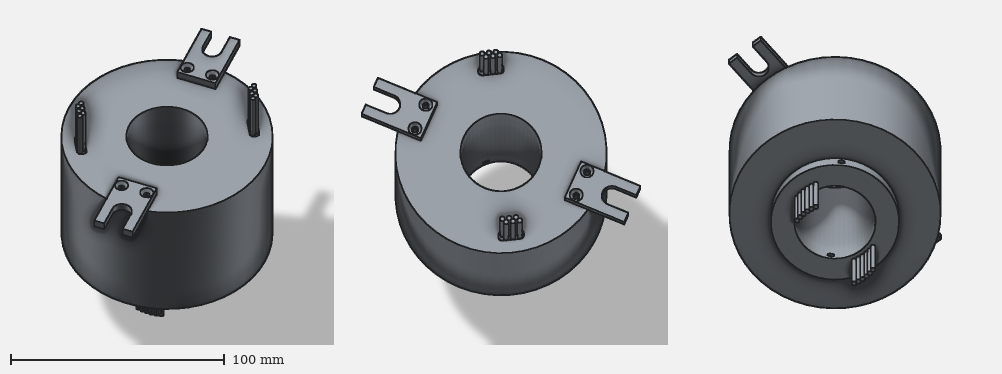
import cadquery as cq
import math

housing_diameter = 99.0
housing_height = 65.5
bore_radius = 19.0

neck_radius = 27.1
neck_height = 1.6
flange_radius = 30.0
flange_height = 7.1
set_screw_hole_diameter = 3.1
set_screw_angles = (45, 135, 225, 315)

tab_tip_y = 67.0
tab_inner_y = 36.7
tab_width = 19.3
tab_thickness = 4.0
fork_slot_width = 9.4
fork_slot_end_y = 51.9
screw_spacing = 12.7
screw_y = 41.1
screw_hole_diameter = 3.0
countersink_diameter = 6.2
countersink_angle = 90

pilot_diameter = 2.1
pilot_depth = 8.0
drill_point_angle = 118

wire_diameter = 2.3
wire_length = 24.0
wires_per_bundle = 6

outlet_radius = 40.9
outlet_angles = (30, 210)
outlet_length = 12.2
outlet_width = 4.5
outlet_depth = 1.0
upper_wire_pitch = 1.6
upper_row_offset = 0.87

lower_wire_radius = 22.0
lower_wire_pitch_angle = 6
lower_bundle_angles = (90, 270)

flange_top_z = -neck_height
flange_bottom_z = flange_top_z - flange_height
flange_middle_z = flange_top_z - flange_height / 2
screw_points = [(-screw_spacing / 2, screw_y), (screw_spacing / 2, screw_y)]


def cylinder(radius, bottom_z, height):
    return cq.Workplane("XY").workplane(offset=bottom_z).circle(radius).extrude(height)


def polar_point(radius, angle):
    return (radius * math.cos(math.radians(angle)), radius * math.sin(math.radians(angle)))


def centred_position(index):
    """Position of one wire in its row, in pitches from the middle of the row."""
    return index - (wires_per_bundle - 1) / 2


def make_body():
    housing = cylinder(housing_diameter / 2, 0, housing_height)
    neck = cylinder(neck_radius, flange_top_z, neck_height)
    flange = cylinder(flange_radius, flange_bottom_z, flange_height)
    bore = cylinder(bore_radius, flange_bottom_z, housing_height - flange_bottom_z)
    return housing.union(neck).union(flange).cut(bore)


def make_set_screw_hole(angle):
    """Radial hole from the flange rim into the bore."""
    hole = cq.Workplane("YZ").center(0, flange_middle_z).circle(set_screw_hole_diameter / 2)
    return hole.extrude(flange_radius).rotate((0, 0, 0), (0, 0, 1), angle)


def make_tab():
    """Tab pointing along +Y, with an open fork slot and two countersunk holes."""
    tab_length = tab_tip_y - tab_inner_y
    slot_radius = fork_slot_width / 2
    slot_centre_y = fork_slot_end_y + slot_radius
    tab = (
        cq.Workplane("XY")
        .workplane(offset=housing_height)
        .center(0, tab_inner_y + tab_length / 2)
        .rect(tab_width, tab_length)
        .extrude(tab_thickness)
    )
    fork_slot = (
        cq.Workplane("XY")
        .workplane(offset=housing_height)
        .moveTo(-slot_radius, tab_tip_y)
        .lineTo(-slot_radius, slot_centre_y)
        .threePointArc((0, fork_slot_end_y), (slot_radius, slot_centre_y))
        .lineTo(slot_radius, tab_tip_y)
        .close()
        .extrude(tab_thickness)
    )
    return (
        tab.cut(fork_slot)
        .faces(">Z")
        .workplane(origin=(0, 0, 0))
        .pushPoints(screw_points)
        .cskHole(screw_hole_diameter, countersink_diameter, countersink_angle)
    )


def make_pilot_hole(point):
    """Drilled hole with a conical point, going down from the housing top."""
    radius = pilot_diameter / 2
    point_height = radius / math.tan(math.radians(drill_point_angle / 2))
    hole = (
        cq.Workplane("XZ")
        .lineTo(radius, 0)
        .lineTo(radius, -pilot_depth)
        .lineTo(0, -pilot_depth - point_height)
        .close()
        .revolve(360, (0, 0, 0), (0, 1, 0))
    )
    return hole.translate((point[0], point[1], housing_height))


def make_outlet(angle):
    """Shallow slot in the housing top where an upper wire bundle comes out."""
    return (
        cq.Workplane("XY")
        .workplane(offset=housing_height - outlet_depth)
        .center(outlet_radius, 0)
        .slot2D(outlet_length, outlet_width, 90)
        .extrude(outlet_depth)
        .rotate((0, 0, 0), (0, 0, 1), angle)
    )


def make_upper_bundle(angle):
    """Wires staggered in two rows, standing on the floor of their outlet."""
    points = []
    for index in range(wires_per_bundle):
        row_offset = upper_row_offset if index % 2 else -upper_row_offset
        points.append((outlet_radius + row_offset, centred_position(index) * upper_wire_pitch))
    return (
        cq.Workplane("XY")
        .workplane(offset=housing_height - outlet_depth)
        .pushPoints(points)
        .circle(wire_diameter / 2)
        .extrude(outlet_depth + wire_length)
        .rotate((0, 0, 0), (0, 0, 1), angle)
    )


def make_lower_bundle(angle):
    """Wires side by side on an arc, hanging from the flange."""
    points = []
    for index in range(wires_per_bundle):
        wire_angle = angle + centred_position(index) * lower_wire_pitch_angle
        points.append(polar_point(lower_wire_radius, wire_angle))
    return (
        cq.Workplane("XY")
        .workplane(offset=flange_bottom_z)
        .pushPoints(points)
        .circle(wire_diameter / 2)
        .extrude(-wire_length)
    )


result = make_body()
for angle in set_screw_angles:
    result = result.cut(make_set_screw_hole(angle))

for point in screw_points:
    pilot_hole = make_pilot_hole(point)
    result = result.cut(pilot_hole).cut(pilot_hole.mirror("XZ"))

tab = make_tab()
result = result.union(tab).union(tab.mirror("XZ"))

for angle in outlet_angles:
    result = result.cut(make_outlet(angle)).union(make_upper_bundle(angle))
for angle in lower_bundle_angles:
    result = result.union(make_lower_bundle(angle))